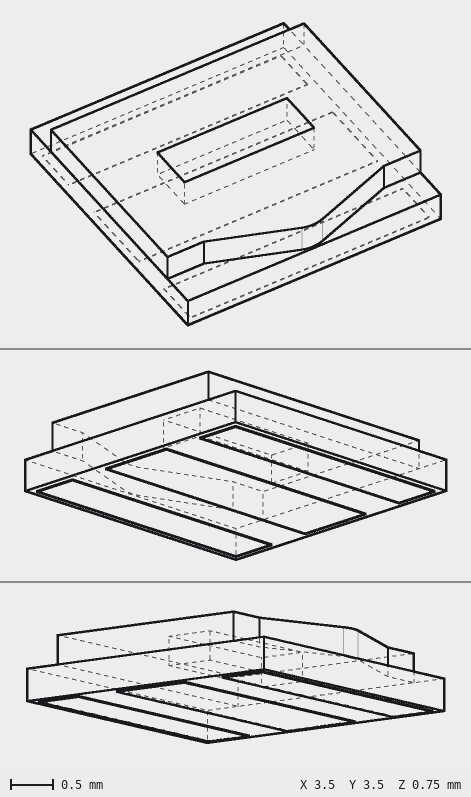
import cadquery as cq
import math

side = 3.5
pad_height = 0.01
base_height = 0.39
base_top = pad_height + base_height

cover_height = 0.35
cover_half_width = 1.3
bulge_half_length = 1.245
bulge_angle = math.radians(20)
tip_radius = 0.415

insert_width = 0.605
insert_length = 1.792

pad_length = 3.3
middle_pad_width = 1.0
outer_pad_width = 0.588
outer_pad_offset = (pad_length - outer_pad_width) / 2


def block(width, length, height, bottom, center_x=0.0):
    """Rectangular block centred in Y, standing on the height 'bottom'."""
    return (
        cq.Workplane("XY")
        .workplane(offset=bottom)
        .center(center_x, 0)
        .rect(width, length)
        .extrude(height)
    )


def make_base():
    return block(side, side, base_height, pad_height)


def make_insert():
    return block(insert_width, insert_length, cover_height, base_top)


def make_cover():
    """Plate with a round-tipped bulge and a through opening for the insert."""
    half_side = side / 2
    arc_half_length = tip_radius * math.sin(bulge_angle)
    arc_start_x = cover_half_width + (bulge_half_length - arc_half_length) * math.tan(bulge_angle)
    tip_x = arc_start_x + tip_radius * (1 - math.cos(bulge_angle))
    plate = (
        cq.Workplane("XY")
        .workplane(offset=base_top)
        .moveTo(-cover_half_width, -half_side)
        .lineTo(cover_half_width, -half_side)
        .lineTo(cover_half_width, -bulge_half_length)
        .lineTo(arc_start_x, -arc_half_length)
        .threePointArc((tip_x, 0), (arc_start_x, arc_half_length))
        .lineTo(cover_half_width, bulge_half_length)
        .lineTo(cover_half_width, half_side)
        .lineTo(-cover_half_width, half_side)
        .close()
        .extrude(cover_height)
    )
    return plate.cut(make_insert())


def make_pad(width, center_x):
    return block(width, pad_length, pad_height, 0, center_x)


base = make_base()
cover = make_cover()
insert = make_insert()
pads = [
    make_pad(width, center_x)
    for width, center_x in (
        (outer_pad_width, -outer_pad_offset),
        (middle_pad_width, 0),
        (outer_pad_width, outer_pad_offset),
    )
]

result = cq.Compound.makeCompound(
    [base.val(), cover.val(), insert.val(), *[pad.val() for pad in pads]]
)